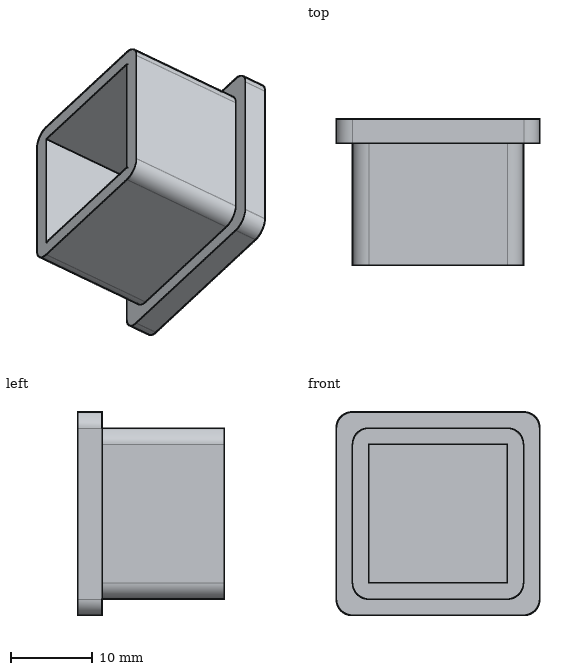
import cadquery as cq

flange_side = 25.0
flange_thickness = 3.0
body_length = 15.0
flange_overhang = 2.0
wall_thickness = 2.0
corner_radius = 2.0
floor_thickness = 2.0
pocket_depth = body_length + flange_thickness - floor_thickness

body_side = flange_side - 2 * flange_overhang
pocket_side = body_side - 2 * wall_thickness


def square_block(side, length, start_y):
    """Square block centred on the Y axis, running from start_y towards +Y."""
    return cq.Workplane("XY").box(side, length, side, centered=(True, False, True)).translate((0, start_y, 0))


def rounded_block(side, length, start_y):
    """Square block with its four long edges rounded."""
    return square_block(side, length, start_y).edges("|Y").fillet(corner_radius)


flange = rounded_block(flange_side, flange_thickness, 0)
body = rounded_block(body_side, body_length, -body_length)

pocket = square_block(pocket_side, pocket_depth, -body_length)

result = flange.union(body).cut(pocket)